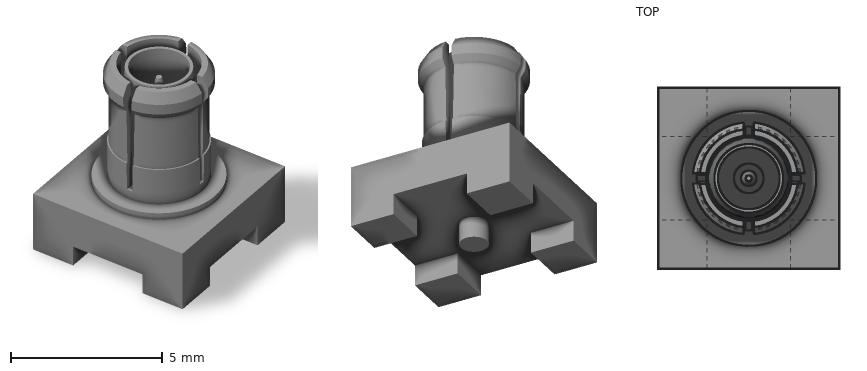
import cadquery as cq

BASE_SIDE = 5.99
BASE_TOP = 2.26
CHANNEL_WIDTH = 2.77
CHANNEL_HEIGHT = 0.765

FLANGE_DIAMETER = 4.46
FLANGE_TOP = 2.51

TOTAL_HEIGHT = 7.01
COLLAR_DIAMETER = 3.44
COLLAR_TOP = 3.91
SLEEVE_DIAMETER = 3.34
SLEEVE_BORE = 2.82
HEAD_DIAMETER = 3.70
HEAD_TOP_DIAMETER = 3.24
HEAD_UNDERSIDE = 5.99
HEAD_BAND_BOTTOM = 6.26
HEAD_BAND_TOP = 6.65

SLOT_BOTTOM = 2.86
SLOT_TOP_WIDTH = 0.36
SLOT_BOTTOM_WIDTH = 0.21

TUBE_DIAMETER = 2.71
TUBE_TOP_DIAMETER = 2.27
TUBE_BORE = 2.04
TUBE_CONE_BOTTOM = 4.02
TUBE_TOP = 6.88

CONTACT_DIAMETER = 0.98
SHOULDER_HEIGHT = 0.25
PIN_DIAMETER = 0.51
PIN_TIP_DIAMETER = 0.20
PIN_TIP_LENGTH = 0.70
PIN_TOP = 6.47


def revolve_profile(points):
    """Turn a closed outline of (radius, height) points around the Z axis."""
    return cq.Workplane("XZ").polyline(points).close().revolve(360, (0, 0), (0, 1))


def cylinder(diameter, bottom, top):
    return cq.Workplane("XY").workplane(offset=bottom).circle(diameter / 2).extrude(top - bottom)


def make_base():
    base = cq.Workplane("XY").box(BASE_SIDE, BASE_SIDE, BASE_TOP, centered=(True, True, False))
    channel = cq.Workplane("XY").box(BASE_SIDE, CHANNEL_WIDTH, CHANNEL_HEIGHT, centered=(True, True, False))
    for angle in (0, 90):
        base = base.cut(channel.rotate((0, 0, 0), (0, 0, 1), angle))
    return base


def make_slot_cutter():
    """Wedge that runs along Y across the whole sleeve."""
    outline = [
        (-SLOT_BOTTOM_WIDTH / 2, SLOT_BOTTOM),
        (SLOT_BOTTOM_WIDTH / 2, SLOT_BOTTOM),
        (SLOT_TOP_WIDTH / 2, TOTAL_HEIGHT),
        (-SLOT_TOP_WIDTH / 2, TOTAL_HEIGHT),
    ]
    return cq.Workplane("XZ").polyline(outline).close().extrude(HEAD_DIAMETER / 2, both=True)


def make_sleeve():
    sleeve = revolve_profile([
        (SLEEVE_BORE / 2, FLANGE_TOP),
        (COLLAR_DIAMETER / 2, FLANGE_TOP),
        (COLLAR_DIAMETER / 2, COLLAR_TOP),
        (SLEEVE_DIAMETER / 2, COLLAR_TOP),
        (SLEEVE_DIAMETER / 2, HEAD_UNDERSIDE),
        (HEAD_DIAMETER / 2, HEAD_BAND_BOTTOM),
        (HEAD_DIAMETER / 2, HEAD_BAND_TOP),
        (HEAD_TOP_DIAMETER / 2, TOTAL_HEIGHT),
        (SLEEVE_BORE / 2, TOTAL_HEIGHT),
    ])
    slot = make_slot_cutter()
    for angle in (0, 90):
        sleeve = sleeve.cut(slot.rotate((0, 0, 0), (0, 0, 1), angle))
    return sleeve


def make_tube():
    return revolve_profile([
        (TUBE_BORE / 2, FLANGE_TOP),
        (TUBE_DIAMETER / 2, FLANGE_TOP),
        (TUBE_DIAMETER / 2, TUBE_CONE_BOTTOM),
        (TUBE_TOP_DIAMETER / 2, TUBE_TOP),
        (TUBE_BORE / 2, TUBE_TOP),
    ])


def make_contact():
    shoulder_top = FLANGE_TOP + SHOULDER_HEIGHT
    return revolve_profile([
        (0, FLANGE_TOP),
        (CONTACT_DIAMETER / 2, FLANGE_TOP),
        (CONTACT_DIAMETER / 2, shoulder_top),
        (PIN_DIAMETER / 2, shoulder_top),
        (PIN_DIAMETER / 2, PIN_TOP - PIN_TIP_LENGTH),
        (PIN_TIP_DIAMETER / 2, PIN_TOP),
        (0, PIN_TOP),
    ])


body = make_base().union(cylinder(FLANGE_DIAMETER, BASE_TOP, FLANGE_TOP))
body = body.union(make_sleeve()).union(make_tube())
tail = cylinder(CONTACT_DIAMETER, 0, BASE_TOP)
result = body.union(tail).union(make_contact())